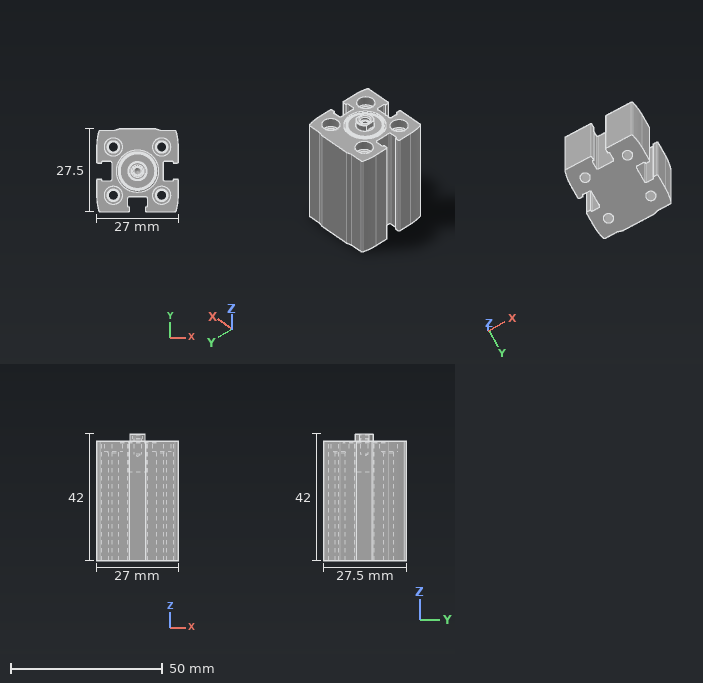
import cadquery as cq
import math

housing_height = 39.6
half_width = 27.0 / 2
ridge_y = 27.5 - half_width
ridge_crest_half = 5.92
ridge_foot_half = 7.6
flank_half_flat = 8.0
corner_x = 12.7
corner_fillet = 0.5

slot_angles = (0, 180, -90)
slot_mouth = 5.2
slot_width = 6.45
slot_depth = 5.0
slot_lip = 1.7
slot_floor_fillet = 0.5
slot_lip_fillet = 0.38
slot_mouth_fillet = 0.4

mount_offset = 8.0
mount_bore = 3.3
mount_countersink = 4.1
mount_counterbore = 6.0
mount_counterbore_depth = 3.5

groove_outer = 14.0
groove_step = 12.73
groove_depth = 0.65
groove_step_depth = 0.15
bearing_diameter = 12.35
bearing_rim_top = 11.42
bearing_rim_mid = 12.0
bearing_rim_mid_depth = 0.15
bearing_rim_depth = 0.4
bearing_mouth_chamfer = 0.15

rod_diameter = 6.0
rod_top = 42.0
rod_bottom = 29.4
rod_flats = 5.05
flat_runout = 0.1
rod_chamfer = 0.2
rod_mouth = 4.1
rod_counterbore = 3.25
rod_counterbore_depth = 1.55
rod_thread = 2.48
rod_thread_depth = 6.7
drill_tip_angle = 120.0


def revolved(points):
    """Turn a closed (radius, z) outline about the Z axis."""
    return cq.Workplane("XZ").polyline(points).close().revolve(360, (0, 0), (0, 1))


def drill_tip(diameter):
    """Height of a drilled cone that reaches the given diameter."""
    return diameter / 2 / math.tan(math.radians(drill_tip_angle / 2))


def flank_mid_point():
    """Middle of the side arc, which starts along Y and ends at the corner."""
    inset = half_width - corner_x
    run = half_width - flank_half_flat
    radius = (inset**2 + run**2) / (2 * inset)
    half_angle = math.asin(run / radius) / 2
    x = half_width - radius * (1 - math.cos(half_angle))
    return x, flank_half_flat + radius * math.sin(half_angle)


def make_profile():
    """Housing block with bowed sides, rounded corners and the raised strip on +Y."""
    mid_x, mid_y = flank_mid_point()
    block = (
        cq.Workplane("XY")
        .moveTo(-corner_x, -half_width)
        .lineTo(corner_x, -half_width)
        .threePointArc((mid_x, -mid_y), (half_width, -flank_half_flat))
        .lineTo(half_width, flank_half_flat)
        .threePointArc((mid_x, mid_y), (corner_x, half_width))
        .lineTo(ridge_foot_half, half_width)
        .lineTo(ridge_crest_half, ridge_y)
        .lineTo(-ridge_crest_half, ridge_y)
        .lineTo(-ridge_foot_half, half_width)
        .lineTo(-corner_x, half_width)
        .threePointArc((-mid_x, mid_y), (-half_width, flank_half_flat))
        .lineTo(-half_width, -flank_half_flat)
        .threePointArc((-mid_x, -mid_y), (-corner_x, -half_width))
        .close()
        .extrude(housing_height)
    )
    for x in (-corner_x, corner_x):
        for y in (-half_width, half_width):
            corner = cq.selectors.NearestToPointSelector((x, y, housing_height / 2))
            block = block.edges("|Z").edges(corner).fillet(corner_fillet)
    return block


def t_slot(angle):
    """Cutter for a T-slot, open towards +X before it is turned about Z."""
    floor_x = half_width - slot_depth
    lip_x = half_width - slot_lip
    half_mouth = slot_mouth / 2
    cavity = cq.Workplane("XY").box(
        lip_x - floor_x, slot_width, housing_height, centered=(False, True, False)
    )
    cavity = cavity.edges("|Z and <X").fillet(slot_floor_fillet)
    cavity = cavity.edges("|Z and >X").fillet(slot_lip_fillet).translate((floor_x, 0, 0))
    mouth_floor_x = floor_x + slot_floor_fillet
    flare_x = half_width - slot_mouth_fillet
    flare_y = half_mouth + slot_mouth_fillet
    mouth = (
        cq.Workplane("XY")
        .moveTo(mouth_floor_x, -half_mouth)
        .lineTo(flare_x, -half_mouth)
        .radiusArc((half_width, -flare_y), slot_mouth_fillet)
        .lineTo(half_width, flare_y)
        .radiusArc((flare_x, half_mouth), slot_mouth_fillet)
        .lineTo(mouth_floor_x, half_mouth)
        .close()
        .extrude(housing_height)
    )
    return cavity.union(mouth).rotate((0, 0, 0), (0, 0, 1), angle)


def mounting_hole():
    """Cutter for a through hole with a counterbore and a countersunk counterbore floor."""
    floor_z = housing_height - mount_counterbore_depth
    countersink_depth = (mount_countersink - mount_bore) / 2
    return revolved([
        (0, 0),
        (mount_bore / 2, 0),
        (mount_bore / 2, floor_z - countersink_depth),
        (mount_countersink / 2, floor_z),
        (mount_counterbore / 2, floor_z),
        (mount_counterbore / 2, housing_height),
        (0, housing_height),
    ])


def bearing_groove():
    """Cutter for the ring groove: sloped floor, narrow gap and bevelled bearing rim."""
    floor_z = housing_height - groove_depth
    return revolved([
        (groove_outer / 2, housing_height),
        (groove_outer / 2, floor_z),
        (groove_step / 2, housing_height - groove_step_depth),
        (groove_step / 2, floor_z),
        (bearing_diameter / 2, floor_z),
        (bearing_diameter / 2, housing_height - bearing_rim_depth),
        (bearing_rim_mid / 2, housing_height - bearing_rim_mid_depth),
        (bearing_rim_top / 2, housing_height),
    ])


def rod_bore():
    """Cutter for the blind bore of the rod, with its chamfered mouth."""
    rod_radius = rod_diameter / 2
    return revolved([
        (0, rod_bottom),
        (rod_radius, rod_bottom),
        (rod_radius, housing_height - bearing_mouth_chamfer),
        (rod_radius + bearing_mouth_chamfer, housing_height),
        (0, housing_height),
    ])


def make_housing():
    housing = make_profile()
    for angle in slot_angles:
        housing = housing.cut(t_slot(angle))
    for x in (-mount_offset, mount_offset):
        for y in (-mount_offset, mount_offset):
            housing = housing.cut(mounting_hole().translate((x, y, 0)))
    housing = housing.cut(bearing_groove())
    return housing.cut(rod_bore())


def rod_hole():
    """Cutter for the end hole of the rod: thread bore, counterbore and chamfered mouth."""
    mouth_z = rod_top - (rod_mouth - rod_counterbore) / 2
    counterbore_z = rod_top - rod_counterbore_depth
    thread_top_z = counterbore_z - drill_tip(rod_counterbore) + drill_tip(rod_thread)
    thread_end_z = rod_top - rod_thread_depth
    return revolved([
        (0, rod_top),
        (rod_mouth / 2, rod_top),
        (rod_counterbore / 2, mouth_z),
        (rod_counterbore / 2, counterbore_z),
        (rod_thread / 2, thread_top_z),
        (rod_thread / 2, thread_end_z),
        (0, thread_end_z - drill_tip(rod_thread)),
    ])


def make_rod():
    rod_radius = rod_diameter / 2
    bar = revolved([
        (0, rod_bottom),
        (rod_radius, rod_bottom),
        (rod_radius, rod_top - rod_chamfer),
        (rod_radius - rod_chamfer, rod_top),
        (0, rod_top),
    ])
    slab = cq.Workplane("XY").box(
        rod_flats, rod_diameter, rod_top - rod_bottom, centered=(True, True, False)
    ).translate((0, 0, rod_bottom))
    runout = revolved([
        (0, rod_bottom),
        (rod_radius, rod_bottom),
        (rod_radius, housing_height - bearing_mouth_chamfer),
        (rod_flats / 2, housing_height + flat_runout),
        (0, housing_height + flat_runout),
    ])
    return bar.intersect(slab.union(runout)).cut(rod_hole())


housing = make_housing()
rod = make_rod()
result = cq.Compound.makeCompound([housing.solids().val(), rod.solids().val()])